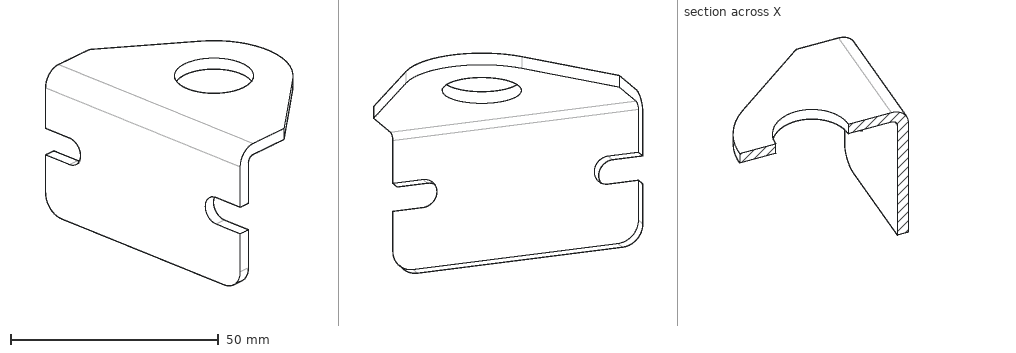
import cadquery as cq
import math

width = 63.5
leg_height = 38.1
thickness = 3.0
bend_inner_radius = 1.6
bend_outer_radius = bend_inner_radius + thickness

hole_diameter = 19.05
hole_y = 25.4
nose_radius = 19.05
flange_shoulder_y = 15.7

slot_width = 7.1
slot_depth = 11.4
slot_z = -leg_height / 2
corner_radius = 5.3

half_width = width / 2
flange_length = hole_y + nose_radius


def bent_sheet():
    """L-shaped sheet: front face on Y = 0, top face on Z = 0, centred on X."""
    profile = (
        cq.Workplane("YZ")
        .moveTo(0, -leg_height)
        .lineTo(0, -bend_outer_radius)
        .radiusArc((bend_outer_radius, 0), bend_outer_radius)
        .lineTo(flange_length, 0)
        .lineTo(flange_length, -thickness)
        .lineTo(bend_outer_radius, -thickness)
        .radiusArc((thickness, -bend_outer_radius), -bend_inner_radius)
        .lineTo(thickness, -leg_height)
        .close()
    )
    return profile.extrude(half_width, both=True)


def flange_outline():
    """Plan shape: straight sides, then lines tangent to the round nose."""
    shoulder_drop = hole_y - flange_shoulder_y
    shoulder_distance = math.hypot(half_width, shoulder_drop)
    tangent_angle = math.acos(nose_radius / shoulder_distance) - math.atan2(shoulder_drop, half_width)
    tangent_x = nose_radius * math.cos(tangent_angle)
    tangent_y = hole_y + nose_radius * math.sin(tangent_angle)
    return (
        cq.Workplane("XY")
        .moveTo(-half_width, 0)
        .lineTo(half_width, 0)
        .lineTo(half_width, flange_shoulder_y)
        .lineTo(tangent_x, tangent_y)
        .threePointArc((0, flange_length), (-tangent_x, tangent_y))
        .lineTo(-half_width, flange_shoulder_y)
        .close()
        .extrude(-leg_height)
    )


def flange_hole():
    """Cutter for the large hole through the flange."""
    return cq.Workplane("XY").center(0, hole_y).circle(hole_diameter / 2).extrude(-thickness)


def side_slot(side):
    """Cutter for a round-ended slot open at the edge on the given side (-1 or +1)."""
    slot_length = 2 * slot_depth
    return (
        cq.Workplane("XZ")
        .center(side * half_width, slot_z)
        .slot2D(slot_length, slot_width)
        .extrude(-thickness)
    )


def round_lower_corners(bracket):
    """Round the two bottom corners of the vertical leg."""
    return bracket.faces("<Z").edges("|Y").fillet(corner_radius)


bracket = bent_sheet().intersect(flange_outline())
bracket = round_lower_corners(bracket)
bracket = bracket.cut(flange_hole())
for side in (-1, 1):
    bracket = bracket.cut(side_slot(side))

result = bracket